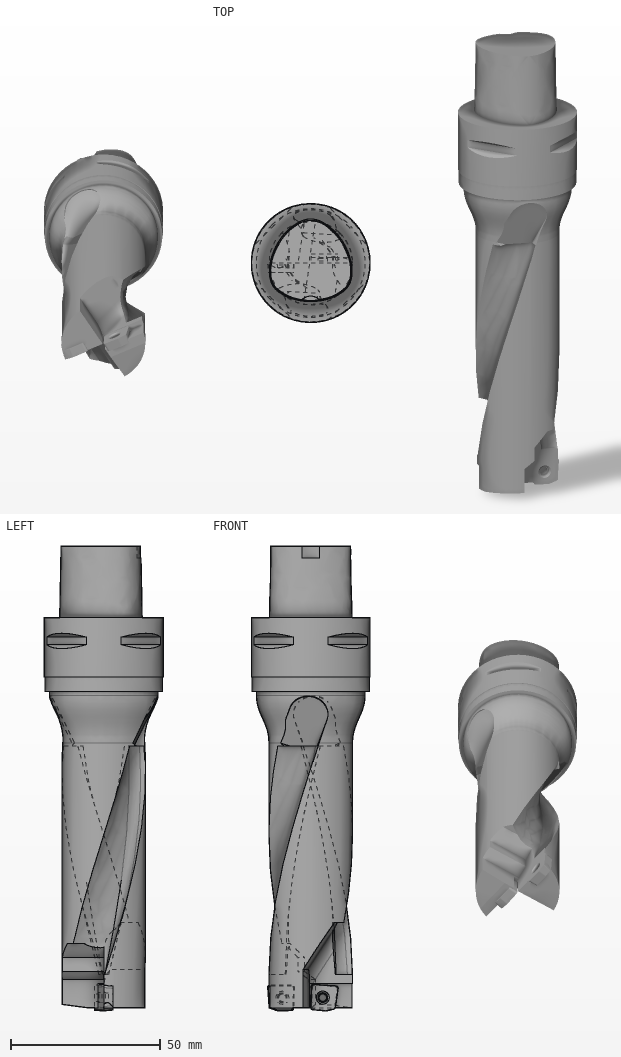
import cadquery as cq
import math

TOTAL_HEIGHT = 156.0
SHANK_LENGTH = 24.0
SHANK_BASE_RADIUS = 13.9
SHANK_TOP_RADIUS = 13.4
LOBE_HEIGHT = 1.0
NOTCH_RADIUS = 4.0
NOTCH_DEPTH = 4.0
NOTCH_AXIS_Y = -15.1

FLANGE_RADIUS = 20.0
FLANGE_STEP_RADIUS = 39.5 / 2
FLANGE_TOP = TOTAL_HEIGHT - SHANK_LENGTH
FLANGE_STEP_Z = 112.0
FLANGE_BOTTOM = 107.2
NECK_RADIUS = 36.5 / 2
NECK_TOP_LENGTH = 1.2
NECK_SHOULDER = FLANGE_BOTTOM - NECK_TOP_LENGTH
NECK_BOTTOM = 89.9
NECK_MID_RADIUS = 16.0
NECK_MID_Z = 98.0

GROOVE_COUNT = 4
GROOVE_Z = 124.2
GROOVE_FLOOR = 17.6
GROOVE_FLOOR_HEIGHT = 2.5
GROOVE_MOUTH_HEIGHT = 5.1
GROOVE_START_ANGLE = 45.0

BODY_RADIUS = 14.0
BODY_BOTTOM = 1.1

FLUTE_LAND = (13.1, -7.6)
FLUTE_MIDDLE = (7.8, -0.8)
FLUTE_DEEP = (7.2, 4.7)
FLUTE_WALL = 7.3
FLUTE_CORNER = 2.8
FLUTE_BOTTOM = 12.3
FLUTE_TOP = 88.9
TWIST_RATE = 1.282
FLUTE_TOP_ANGLE = 248.0
RUNOUT_WIDTH = 13.1
RUNOUT_LENGTH = 12.8
RUNOUT_OVERLAP = 0.8
RUNOUT_FLOOR = 10.0
RUNOUT_OFFSET = -4.0
RUNOUT_TILT = 25.0
RUNOUT_LEAN = 20.0
RUNOUT_ANGLE = 266.0

POCKET_WALL_TURN = -9.0
CENTRE_POCKET_EDGE = [(-0.3, 14.0), (9.7, 29.6)]
OUTER_POCKET_EDGE = [(0.6, 10.6), (4.2, 13.3), (4.2, 18.0), (8.7, 22.6)]
POCKET_FILLET = 3.9
SEAT_RECESS = 1.9
SEAT_TOP = 9.2
SEAT_START_X = -1.5
LUG_RELIEF = 7.5
LUG_RELIEF_Z = 0.6

INSERT_THICKNESS = 3.1
INSERT_CORNER = 0.8
INSERT_CLEARANCE = 5.0
INSERT_OUTLINE = [(0.0, 0.5), (5.3, 0.0), (8.3, 0.8), (9.4, 8.5), (0.3, 9.0)]
INSERT_HOLE_X = 4.0
INSERT_HOLE_Z = 4.5
HOLE_MOUTH_DIA = 4.4
HOLE_HEAD_DIA = 3.3
HOLE_DIA = 2.5
HOLE_MOUTH_DEPTH = 0.6
HOLE_HEAD_DEPTH = 1.5
OUTER_INSERT_TURN = 4.0
OUTER_INSERT_X = -5.8
OUTER_INSERT_Z = -0.3

CLEAR = 46.8


def lobed_section(mean_radius, z):
    """Closed curve of constant width with three lobes, one of them towards +Y."""
    def point(turn):
        x = (mean_radius * math.cos(turn) + 2 * LOBE_HEIGHT * math.cos(2 * turn)
             - LOBE_HEIGHT * math.cos(4 * turn))
        y = (mean_radius * math.sin(turn) - 2 * LOBE_HEIGHT * math.sin(2 * turn)
             - LOBE_HEIGHT * math.sin(4 * turn))
        return (-y, x)

    curve = cq.Workplane("XY").parametricCurve(lambda t: point(2 * math.pi * t), N=48)
    return cq.Wire.assembleEdges(curve.edges().vals()).moved(cq.Location(cq.Vector(0, 0, z)))


def make_shank():
    """Tapered shank with a round-backed notch in its -Y side."""
    base = lobed_section(SHANK_BASE_RADIUS, FLANGE_TOP)
    top = lobed_section(SHANK_TOP_RADIUS, TOTAL_HEIGHT)
    shank = cq.Workplane(cq.Solid.makeLoft([base, top], True))
    notch = (cq.Workplane("XY").workplane(offset=TOTAL_HEIGHT - NOTCH_DEPTH)
             .center(0, NOTCH_AXIS_Y).circle(NOTCH_RADIUS).extrude(2 * NOTCH_DEPTH))
    return shank.cut(notch)


def make_turned_body():
    """Flange, neck and drill body turned about Z."""
    return (cq.Workplane("XZ")
            .moveTo(0, BODY_BOTTOM)
            .lineTo(BODY_RADIUS, BODY_BOTTOM)
            .lineTo(BODY_RADIUS, NECK_BOTTOM)
            .spline([(NECK_MID_RADIUS, NECK_MID_Z), (NECK_RADIUS, NECK_SHOULDER)],
                    tangents=[(0, 1), (0, 1)], includeCurrent=True)
            .lineTo(NECK_RADIUS, FLANGE_BOTTOM)
            .lineTo(FLANGE_STEP_RADIUS, FLANGE_BOTTOM)
            .lineTo(FLANGE_STEP_RADIUS, FLANGE_STEP_Z)
            .lineTo(FLANGE_RADIUS, FLANGE_STEP_Z)
            .lineTo(FLANGE_RADIUS, FLANGE_TOP)
            .lineTo(0, FLANGE_TOP)
            .close()
            .revolve(360, (0, 0, 0), (0, 1, 0)))


def groove_cutter(index):
    """Straight groove across the flange, wider at its mouth than at its floor."""
    floor_half = GROOVE_FLOOR_HEIGHT / 2
    mouth_half = GROOVE_MOUTH_HEIGHT / 2
    profile = [(GROOVE_FLOOR, GROOVE_Z - floor_half), (FLANGE_RADIUS, GROOVE_Z - mouth_half),
               (FLANGE_RADIUS, GROOVE_Z + mouth_half), (GROOVE_FLOOR, GROOVE_Z + floor_half)]
    groove = cq.Workplane("XZ").polyline(profile).close().extrude(FLANGE_RADIUS, both=True)
    return groove.rotate((0, 0, 0), (0, 0, 1), GROOVE_START_ANGLE + index * 360 / GROOVE_COUNT)


def helix_cutter():
    """First flute: a floor sloping down to a steep wall, turning as it rises."""
    height = FLUTE_TOP - FLUTE_BOTTOM
    turn = TWIST_RATE * height
    outside = 2 * BODY_RADIUS
    slot = (cq.Workplane("XY")
            .moveTo(*FLUTE_LAND)
            .threePointArc(FLUTE_MIDDLE, FLUTE_DEEP)
            .tangentArcPoint((FLUTE_DEEP[0] + FLUTE_CORNER, FLUTE_WALL), relative=False)
            .lineTo(outside, FLUTE_WALL)
            .lineTo(outside, FLUTE_LAND[1])
            .close()
            .twistExtrude(height, turn))
    return (slot.rotate((0, 0, 0), (0, 0, 1), FLUTE_TOP_ANGLE - turn)
            .translate((0, 0, FLUTE_BOTTOM)))


def runout_cutter():
    """Straight slot with a rounded end where the first flute climbs out through the neck."""
    radius = RUNOUT_WIDTH / 2
    slot = (cq.Workplane("YZ")
            .moveTo(-radius, -RUNOUT_OVERLAP)
            .lineTo(-radius, RUNOUT_LENGTH)
            .threePointArc((0, RUNOUT_LENGTH + radius), (radius, RUNOUT_LENGTH))
            .lineTo(radius, -RUNOUT_OVERLAP)
            .close()
            .extrude(CLEAR))
    return (slot.rotate((0, 0, 0), (1, 0, 0), -RUNOUT_LEAN)
            .rotate((0, 0, 0), (0, 1, 0), RUNOUT_TILT)
            .translate((RUNOUT_FLOOR, RUNOUT_OFFSET, FLUTE_TOP))
            .rotate((0, 0, 0), (0, 0, 1), RUNOUT_ANGLE))


def half_turn(shape):
    return shape.rotate((0, 0, 0), (0, 0, 1), 180)


def pocket_cutter(upper_edge):
    """Chip pocket on the -Y side of the centre plane, below and beside a helical flute."""
    wall_x = upper_edge[0][0]
    top = upper_edge[-1][1]
    outline = [(wall_x, -CLEAR), *upper_edge, (CLEAR, top), (CLEAR, -CLEAR)]
    pocket = (cq.Workplane("XZ").polyline(outline).close().extrude(CLEAR, both=True)
              .rotate((wall_x, 0, 0), (wall_x, 0, 1), POCKET_WALL_TURN))
    front_half = cq.Workplane("XY").box(4 * CLEAR, CLEAR, 4 * CLEAR).translate((0, -CLEAR / 2, 0))
    return pocket.intersect(front_half)


def centre_pocket_cutter():
    """Pocket of the centre insert, its sloping ceiling rounded into the flat face."""
    (start_x, start_z), (end_x, end_z) = CENTRE_POCKET_EDGE
    ceiling_middle = ((start_x + end_x) / 2, 0, (start_z + end_z) / 2)
    return (pocket_cutter(CENTRE_POCKET_EDGE).faces(">Y")
            .edges(cq.selectors.NearestToPointSelector(ceiling_middle)).fillet(POCKET_FILLET))


def outer_pocket_cutter():
    return half_turn(pocket_cutter(OUTER_POCKET_EDGE))


def seat_recess_cutter():
    """Steps the face beside the centre insert back from the centre plane."""
    return (cq.Workplane("XY")
            .box(CLEAR, SEAT_RECESS, SEAT_TOP, centered=False)
            .translate((SEAT_START_X, 0, 0)))


def lug_relief_cutter():
    """Clears the end of the lug behind the centre insert, rising towards +Y."""
    return (cq.Workplane("XY").box(CLEAR, CLEAR, CLEAR, centered=(True, False, False))
            .translate((0, 0, -CLEAR))
            .rotate((0, 0, 0), (1, 0, 0), LUG_RELIEF)
            .translate((0, SEAT_RECESS, LUG_RELIEF_Z)))


def insert_blank():
    """Insert plate without its hole, rake face on the centre plane facing -Y."""
    return (cq.Workplane("XZ").polyline(INSERT_OUTLINE).close()
            .extrude(-INSERT_THICKNESS, taper=INSERT_CLEARANCE)
            .edges("not(#Y)").fillet(INSERT_CORNER))


def make_insert():
    """Centre insert with a countersunk, stepped screw hole."""
    def bore(diameter, depth):
        return (cq.Workplane("XZ").center(INSERT_HOLE_X, INSERT_HOLE_Z)
                .circle(diameter / 2).extrude(-depth))

    mouth = cq.Workplane(cq.Solid.makeCone(
        HOLE_MOUTH_DIA / 2, HOLE_HEAD_DIA / 2, HOLE_MOUTH_DEPTH,
        cq.Vector(INSERT_HOLE_X, 0, INSERT_HOLE_Z), cq.Vector(0, 1, 0)))
    return (insert_blank().cut(mouth)
            .cut(bore(HOLE_HEAD_DIA, HOLE_HEAD_DEPTH))
            .cut(bore(HOLE_DIA, INSERT_THICKNESS)))


def place_inserts(shape):
    """The shape at the centre seat, then turned and moved out to the outer seat."""
    outer = (half_turn(shape).rotate((0, 0, 0), (0, 1, 0), OUTER_INSERT_TURN)
             .translate((OUTER_INSERT_X, 0, OUTER_INSERT_Z)))
    return [shape, outer]


holder = make_turned_body().union(make_shank())
for groove_index in range(GROOVE_COUNT):
    holder = holder.cut(groove_cutter(groove_index))
for cutter in (helix_cutter(), runout_cutter()):
    holder = holder.cut(cutter).cut(half_turn(cutter))
holder = holder.cut(centre_pocket_cutter()).cut(outer_pocket_cutter())
holder = holder.cut(seat_recess_cutter()).cut(lug_relief_cutter())
for seat in place_inserts(insert_blank()):
    holder = holder.cut(seat)

inserts = place_inserts(make_insert())

result = cq.Compound.makeCompound([holder.val(), *[insert.val() for insert in inserts]])